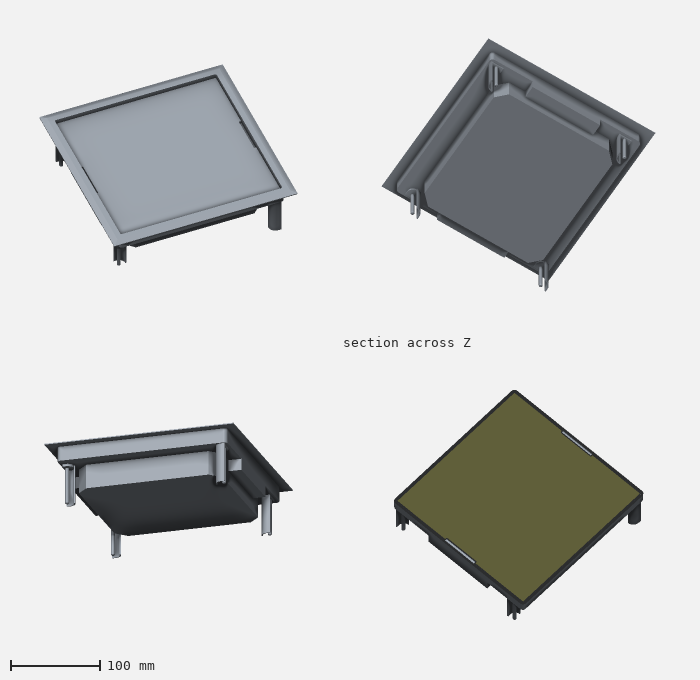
import cadquery as cq
import math

top_z = 65.0
housing_bottom_z = 45.3
box_bottom_z = 17.0
tab_bottom_z = 32.0

rim_size = 222
rim_edge_height = 1.0
bevel_width = 5.8
bevel_rise = 1.5
top_chamfer_width = 0.9
top_chamfer_rise = 0.2
frame_step_height = 0.9
frame_opening = 195.8
opening_corner_radius = 1.8
skirt_wall = 0.9
rim_bottom_z = top_z - top_chamfer_rise - bevel_rise - rim_edge_height
frame_bottom_z = rim_bottom_z - frame_step_height

lid_depth = 4.9
lid_thickness = 4.5
lid_gap = 0.9
lid_size = frame_opening - 2 * lid_gap
lid_corner_radius = opening_corner_radius - lid_gap
notch_length = 44.8
notch_width = 2.7
notch_depth = 3.5
lid_top_z = top_z - lid_depth
lid_bottom_z = lid_top_z - lid_thickness

housing_size = 199.5
housing_corner_radius = 4.2
tab_length = 89.7
recess_size = frame_opening + 2 * skirt_wall
recess_corner_radius = opening_corner_radius + skirt_wall

box_length_x = 157.6
box_length_y = 168.7
box_corner_cut = 12.5

leg_outer_radius = 8.7
leg_wall = 1.3
leg_straight = 3.8
cap_height = 2.9
screw_radius = 2.2
screw_chamfer = 0.9
screw_offset = 0.7
leg_centers_x = (-89.2, 81.3)
leg_center_y = -92.8


def square_prism(size, bottom_z, upper_z):
    """Upright square block centred on the Z axis."""
    return cq.Workplane("XY", origin=(0, 0, bottom_z)).rect(size, size).extrude(upper_z - bottom_z)


def rounded_prism(size, radius, bottom_z, upper_z):
    """Upright square block with rounded vertical edges."""
    return square_prism(size, bottom_z, upper_z).edges("|Z").fillet(radius)


def tapered_layer(size, inset, bottom_z, height):
    """Square layer whose four sides lean inward by inset over its height."""
    taper = math.degrees(math.atan2(inset, height))
    return cq.Workplane("XY", origin=(0, 0, bottom_z)).rect(size, size).extrude(height, taper=taper)


def make_frame():
    bevel_z = rim_bottom_z + rim_edge_height
    chamfer_z = bevel_z + bevel_rise
    frame = square_prism(rim_size, rim_bottom_z, bevel_z)
    frame = frame.union(tapered_layer(rim_size, bevel_width, bevel_z, bevel_rise))
    chamfer_size = rim_size - 2 * bevel_width
    frame = frame.union(tapered_layer(chamfer_size, top_chamfer_width, chamfer_z, top_chamfer_rise))
    step = rounded_prism(housing_size, housing_corner_radius, frame_bottom_z, rim_bottom_z)
    skirt = rounded_prism(recess_size, recess_corner_radius, lid_bottom_z, rim_bottom_z)
    opening = rounded_prism(frame_opening, opening_corner_radius, lid_bottom_z, top_z)
    return frame.union(step).union(skirt).cut(opening)


def make_lid():
    lid = rounded_prism(lid_size, lid_corner_radius, lid_bottom_z, lid_top_z)
    notches = (
        cq.Workplane("XY", origin=(0, 0, lid_top_z - notch_depth))
        .pushPoints([(0, side * lid_size / 2) for side in (-1, 1)])
        .rect(notch_length, 2 * notch_width)
        .extrude(notch_depth)
    )
    return lid.cut(notches)


def make_housing():
    housing = rounded_prism(housing_size, housing_corner_radius, housing_bottom_z, frame_bottom_z)
    recess = rounded_prism(recess_size, recess_corner_radius, lid_bottom_z, frame_bottom_z)
    housing = housing.cut(recess)

    tab_depth = (housing_size - box_length_y) / 2
    tab_center_y = (housing_size + box_length_y) / 4
    tabs = (
        cq.Workplane("XY", origin=(0, 0, tab_bottom_z))
        .pushPoints([(0, side * tab_center_y) for side in (-1, 1)])
        .rect(tab_length, tab_depth)
        .extrude(housing_bottom_z - tab_bottom_z)
    )
    return housing.union(tabs)


def make_box():
    return (
        cq.Workplane("XY", origin=(0, 0, box_bottom_z))
        .rect(box_length_x, box_length_y)
        .extrude(housing_bottom_z - box_bottom_z)
        .edges("|Z")
        .chamfer(box_corner_cut)
    )


def make_leg():
    """Front leg with the centre of its arc on the Z axis."""
    inner_radius = leg_outer_radius - leg_wall
    diagonal = math.sqrt(0.5)

    wall = (
        cq.Workplane("XY")
        .moveTo(-leg_outer_radius, -leg_straight)
        .lineTo(-leg_outer_radius, 0)
        .threePointArc(
            (-leg_outer_radius * diagonal, leg_outer_radius * diagonal), (0, leg_outer_radius)
        )
        .lineTo(0, inner_radius)
        .threePointArc((-inner_radius * diagonal, inner_radius * diagonal), (-inner_radius, 0))
        .lineTo(-inner_radius, -leg_straight)
        .close()
        .extrude(housing_bottom_z)
    )
    cap = (
        cq.Workplane("XY", origin=(0, 0, housing_bottom_z - cap_height))
        .moveTo(-inner_radius, -leg_straight)
        .lineTo(-inner_radius, 0)
        .threePointArc((0, inner_radius), (inner_radius, 0))
        .lineTo(inner_radius, -leg_straight)
        .close()
        .extrude(cap_height)
    )
    screw = (
        cq.Workplane("XY")
        .center(0, -screw_offset)
        .circle(screw_radius)
        .extrude(housing_bottom_z)
        .faces("<Z")
        .chamfer(screw_chamfer)
    )
    return wall.union(cap).union(screw)


frame = make_frame()
lid = make_lid()
housing = make_housing()
box = make_box()

legs = []
for center_x in leg_centers_x:
    front_leg = make_leg().translate((center_x, leg_center_y, 0))
    back_leg = front_leg.rotate((0, 0, 0), (0, 0, 1), 180)
    legs += [front_leg.val(), back_leg.val()]

result = cq.Compound.makeCompound([frame.val(), lid.val(), housing.val(), box.val(), *legs])